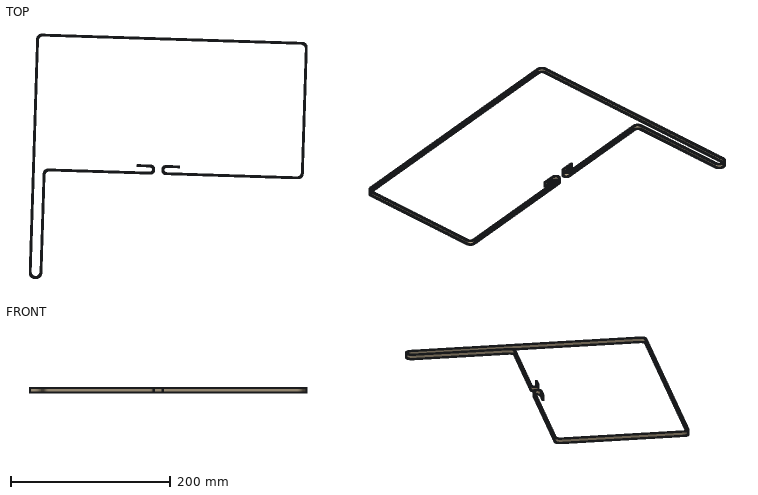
import cadquery as cq

strip_thickness = 1.0
strip_height = 6.0
tilt = -1.82

left_x = -169.5
right_x = 168.5
top_y = 148.0
lower_y = -21.2

corner_radius = 6.0
leg_width = 13.5
leg_foot_y = -157.0

hook_radius = 4.5
left_hook_x = -18.5
right_hook_x = -7.0
tail_length = 20.2

leg_radius = leg_width / 2
leg_inner_x = left_x + leg_width
leg_arc_y = leg_foot_y + leg_radius
tail_y = lower_y + 2 * hook_radius
left_bend_x = left_hook_x - hook_radius
right_bend_x = right_hook_x + hook_radius
start = (left_hook_x - tail_length, tail_y)


def loop_centreline():
    """Trace the strip from the left tail tip round to the right tail tip."""
    r = corner_radius
    path = cq.Workplane("XY").moveTo(*start)

    path = path.lineTo(left_bend_x, tail_y)
    path = path.tangentArcPoint((left_bend_x, lower_y), relative=False)
    path = path.lineTo(leg_inner_x + r, lower_y)
    path = path.tangentArcPoint((leg_inner_x, lower_y - r), relative=False)

    path = path.lineTo(leg_inner_x, leg_arc_y)
    path = path.tangentArcPoint((left_x, leg_arc_y), relative=False)
    path = path.lineTo(left_x, top_y - r)
    path = path.tangentArcPoint((left_x + r, top_y), relative=False)

    path = path.lineTo(right_x - r, top_y)
    path = path.tangentArcPoint((right_x, top_y - r), relative=False)
    path = path.lineTo(right_x, lower_y + r)
    path = path.tangentArcPoint((right_x - r, lower_y), relative=False)

    path = path.lineTo(right_bend_x, lower_y)
    path = path.tangentArcPoint((right_bend_x, tail_y), relative=False)
    return path.lineTo(right_hook_x + tail_length, tail_y)


section = cq.Workplane("YZ", origin=(*start, 0)).rect(strip_thickness, strip_height)
strip = section.sweep(loop_centreline())

result = strip.rotate((0, 0, 0), (0, 0, 1), tilt)